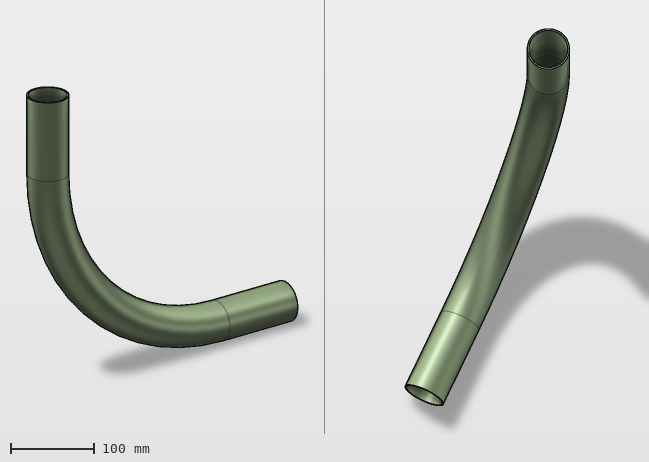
import cadquery as cq
import math

overall_length = 381.0
outer_diameter = 50.5
bore_diameter = 46.5
straight_length = 101.7

bend_radius = overall_length - outer_diameter / 2 - straight_length
leg_reach = bend_radius + straight_length
arc_middle = bend_radius * (1 - math.cos(math.radians(45)))

centreline = (
    cq.Workplane("YZ")
    .moveTo(0, leg_reach)
    .lineTo(0, bend_radius)
    .threePointArc((arc_middle, arc_middle), (bend_radius, 0))
    .lineTo(leg_reach, 0)
)

result = (
    cq.Workplane("XY", origin=(0, 0, leg_reach))
    .circle(outer_diameter / 2)
    .circle(bore_diameter / 2)
    .sweep(centreline)
)